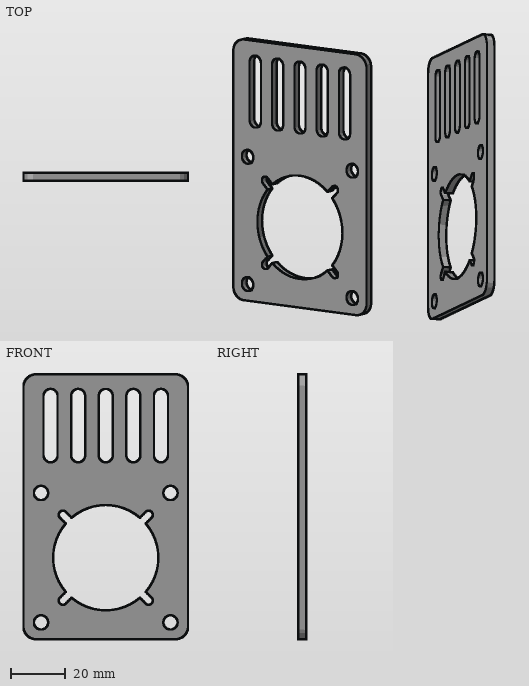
import cadquery as cq

plate_width = 60.0
plate_height = 96.5
plate_thickness = 3.0
corner_radius = 4.7

slot_count = 5
slot_pitch = 10.0
slot_width = 5.0
slot_length = 26.6
slot_center_z = 29.5

opening_center_z = -18.5
opening_diameter = 38.2
mount_spacing = 47.1
mount_hole_diameter = 5.1

notch_width = 3.0
notch_tip_radius = 23.5
notch_angles = (45, 135)


def front_face_plane(center_z):
    """Sketch plane on the -Y face of the plate, with its origin at the given height."""
    return cq.Workplane("XZ", origin=(0, -plate_thickness / 2, center_z))


def through_cutter(sketch):
    """Extrude a sketch on the -Y face right through the plate."""
    return sketch.extrude(-plate_thickness)


def make_plate():
    blank = cq.Workplane("XY").box(plate_width, plate_thickness, plate_height)
    return blank.edges("|Y").fillet(corner_radius)


def make_vent_slots():
    sketch = (
        front_face_plane(slot_center_z)
        .rarray(slot_pitch, 1, slot_count, 1)
        .slot2D(slot_length, slot_width, 90)
    )
    return through_cutter(sketch)


def make_opening():
    center = front_face_plane(opening_center_z)
    opening = through_cutter(center.circle(opening_diameter / 2))
    for angle in notch_angles:
        notch_pair = center.slot2D(2 * notch_tip_radius, notch_width, angle)
        opening = opening.union(through_cutter(notch_pair))
    return opening


def make_mount_holes():
    sketch = (
        front_face_plane(opening_center_z)
        .rarray(mount_spacing, mount_spacing, 2, 2)
        .circle(mount_hole_diameter / 2)
    )
    return through_cutter(sketch)


result = make_plate().cut(make_vent_slots()).cut(make_opening()).cut(make_mount_holes())